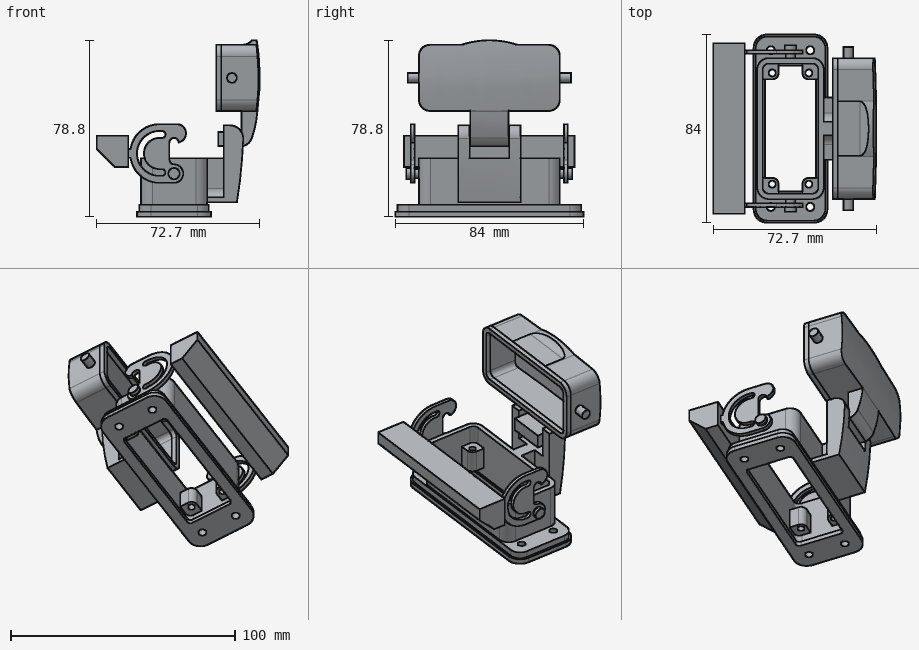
import cadquery as cq
import math


wall = 2.4
shell_width = 29.6
shell_length = 62.8
shell_corner = 5.0
shell_top = 26.2
cavity_corner = shell_corner - wall
cavity_width = shell_width - 2 * wall
cavity_length = shell_length - 2 * wall

plinth_length = 84.0
plinth_width = 33.0
plinth_corner = 6.1
plinth_height = 2.4
plinth_margin = 1.0
flange_height = 3.1
flange_top = plinth_height + flange_height
flange_length = plinth_length - 2 * plinth_margin
flange_width = plinth_width - 2 * plinth_margin
flange_corner = plinth_corner - plinth_margin
mount_hole_diameter = 3.5
mount_spacing_x = 17.55
mount_spacing_y = 69.8

boss_side = 7.05
boss_corner = 2.85
boss_top = 17.5
boss_bottom = 7.05
boss_hole_diameter = 3.0
boss_hole_inset = 4.2

plate_thickness = 1.8
plate_inner_y = 33.3
plate_outer_y = plate_inner_y + plate_thickness
pivot_z = 19.3
pivot_radius = 2.1
pivot_head_radius = 2.5
pivot_head_outer_y = 37.05
lobe_radius = 4.1
bow_center_x = -6.5
bow_radius = 13.1
bow_center_z = pivot_z - lobe_radius + bow_radius
hook_radius = 3.9
hook_x = 1.5
throat_radius = 2.0
throat_top_z = 33.2
slot_center_radius = 8.5
slot_width = 3.0
slot_end_x = -5.4
bar_half_length = 38.05
bar_back_x = -34.4
bar_front_x = -20.3
bar_top_z = 36.2
bar_bottom_z = 22.2
bar_bevel = 8.1
neck_height = 4.0

bracket_front_x = 22.1
bracket_bottom_z = 6.5
bracket_bottom_x = 28.05
bracket_top_z = 40.9
bracket_back_x = 30.8
bracket_round = 5.9
bracket_bulge = 0.5
bracket_half_width = 13.95
bracket_gap_half = 8.8
foot_height = 2.35
rib_half_width = 3.0
rib_fillet = 4.0

seal_front_x = 18.7
seal_thickness = 2.35
cover_front_x = seal_front_x + seal_thickness
cover_apex_x = 38.3
cover_z = 62.0
bow_drop_height = 1.1
bow_drop_length = 0.7
cover_pin_x = 25.8
cover_pin_radius = 2.2
cover_pin_reach = 36.45
grip_rise = 2.0
pad_rise = 0.1
grip_half_length = 12.4
grip_start_x = 30.8
grip_scoop_radius = 5.0
hinge_half_width = 8.6
knuckle_x = 19.65
knuckle_top_z = 38.0
knuckle_bottom_z = 31.6
hinge_arm_x = 30.1
hinge_arm_top_x = 37.2
hinge_taper_middle = (36.45, 41.6)
hinge_taper_end = (34.8, 35.3)
hinge_toe_middle = (33.3, 32.9)
hinge_toe_end_x = 30.8

SIDES = (-1, 1)


def rounded_block(width, length, corner, z_low, z_high):
    """Block centred on the Z axis with rounded vertical edges."""
    return (cq.Workplane("XY").workplane(offset=z_low).rect(width, length)
            .extrude(z_high - z_low).edges("|Z").fillet(corner))


def box_between(x, y, z):
    """Box given by its (low, high) limits along each axis."""
    return (cq.Workplane("XY").box(x[1] - x[0], y[1] - y[0], z[1] - z[0], centered=False)
            .translate((x[0], y[0], z[0])))


def cylinder_y(x, z, radius, y_low, y_high):
    """Cylinder parallel to the Y axis."""
    return (cq.Workplane("XZ", origin=(0, y_low, 0)).center(x, z)
            .circle(radius).extrude(y_low - y_high))


def along_y(outline, y_low, y_high):
    """Extrude a closed XZ outline between two Y positions."""
    return outline.extrude(y_low - y_high).translate((0, y_low, 0))


def mounting_holes():
    """Cutters for the four holes through flange and plinth."""
    return (cq.Workplane("XY").rect(mount_spacing_x, mount_spacing_y, forConstruction=True)
            .vertices().circle(mount_hole_diameter / 2).extrude(flange_top))


def make_plinth():
    """Wide bottom layer of the base, leaving a narrow ledge inside the cavity."""
    ring = rounded_block(plinth_width, plinth_length, plinth_corner, 0, plinth_height)
    opening = rounded_block(cavity_width - 2 * plinth_margin, cavity_length - 2 * plinth_margin,
                            cavity_corner - plinth_margin, 0, plinth_height)
    return ring.cut(opening)


def make_boss(side_x, side_y):
    """Drilled corner boss with its free vertical edge rounded."""
    center_x = side_x * (cavity_width - boss_side) / 2
    center_y = side_y * (cavity_length - boss_side) / 2
    hole_x = side_x * (cavity_width / 2 - boss_hole_inset)
    hole_y = side_y * (cavity_length / 2 - boss_hole_inset)
    height = boss_top - boss_bottom
    free_edge = ("<X" if side_x > 0 else ">X") + " and " + ("<Y" if side_y > 0 else ">Y")
    block = (cq.Workplane("XY", origin=(center_x, center_y, boss_bottom))
             .rect(boss_side, boss_side).extrude(height)
             .edges("|Z and " + free_edge).fillet(boss_corner))
    hole = (cq.Workplane("XY", origin=(hole_x, hole_y, boss_bottom))
            .circle(boss_hole_diameter / 2).extrude(height))
    return block.cut(hole)


def bracket_profile():
    """Side profile of the bracket arms: rounded top and gently bowed, tapering back."""
    shoulder_z = bracket_top_z - bracket_round
    round_x = bracket_back_x - bracket_round
    diagonal = bracket_round * math.sqrt(0.5)
    middle_x = (bracket_back_x + bracket_bottom_x) / 2 + bracket_bulge
    middle_z = (shoulder_z + bracket_bottom_z) / 2
    return (cq.Workplane("XZ")
            .moveTo(bracket_front_x, bracket_bottom_z)
            .lineTo(bracket_front_x, bracket_top_z)
            .lineTo(round_x, bracket_top_z)
            .threePointArc((round_x + diagonal, shoulder_z + diagonal), (bracket_back_x, shoulder_z))
            .threePointArc((middle_x, middle_z), (bracket_bottom_x, bracket_bottom_z))
            .close())


def make_bracket():
    """Two hinge arms joined by a low web, carried by a foot plate and a filleted rib."""
    root_x = shell_width / 2 - wall / 2
    foot_top = bracket_bottom_z + foot_height
    arms = along_y(bracket_profile(), -bracket_half_width, bracket_half_width)
    arms = arms.cut(box_between((bracket_front_x, cover_apex_x),
                                (-bracket_gap_half, bracket_gap_half),
                                (shell_top, bracket_top_z)))
    foot_span = (root_x, bracket_front_x)
    foot = box_between(foot_span, (-bracket_half_width, bracket_half_width),
                       (bracket_bottom_z, foot_top))
    rib = box_between(foot_span, (-rib_half_width, rib_half_width), (bracket_bottom_z, shell_top))
    bracket = arms.union(foot).union(rib)
    hollow_y = rib_half_width + rib_fillet
    corner = box_between(foot_span, (rib_half_width, hollow_y), (foot_top, foot_top + rib_fillet))
    hollow = (cq.Workplane("YZ", origin=(root_x, 0, 0))
              .center(hollow_y, foot_top + rib_fillet).circle(rib_fillet)
              .extrude(bracket_front_x - root_x))
    fillet = corner.cut(hollow)
    return bracket.union(fillet).union(fillet.mirror("XZ"))


def make_pivot():
    """Headed pivot stub on the +Y end wall; the lever turns on its shank."""
    root_y = (shell_length - wall) / 2
    shank = cylinder_y(0, pivot_z, pivot_radius, root_y, plate_outer_y)
    head = cylinder_y(0, pivot_z, pivot_head_radius, plate_outer_y, pivot_head_outer_y)
    return shank.union(head)


def make_housing():
    """Plinth, flange and open-ended shell with bosses, pivots and the hinge bracket."""
    flange = rounded_block(flange_width, flange_length, flange_corner, plinth_height, flange_top)
    shell = rounded_block(shell_width, shell_length, shell_corner, plinth_height, shell_top)
    cavity = rounded_block(cavity_width, cavity_length, cavity_corner, plinth_height, shell_top)
    body = flange.union(shell).union(make_bracket()).cut(cavity)
    body = body.union(make_plinth()).cut(mounting_holes())
    for side_x in SIDES:
        for side_y in SIDES:
            body = body.union(make_boss(side_x, side_y))
    pivot = make_pivot()
    return body.union(pivot).union(pivot.mirror("XZ"))


def lever_plate_profile():
    """Bowed plate with a pivot lobe below, a throat and a hook above."""
    lobe_top = pivot_z + lobe_radius
    throat_low_z = lobe_top + throat_radius
    bow_top = bow_center_z + bow_radius
    hook_z = bow_top - hook_radius
    diagonal = throat_radius * math.sqrt(0.5)
    return (cq.Workplane("XZ")
            .moveTo(bow_center_x, bow_center_z - bow_radius)
            .lineTo(0, pivot_z - lobe_radius)
            .threePointArc((lobe_radius, pivot_z), (0, lobe_top))
            .threePointArc((-diagonal, throat_low_z - diagonal), (-throat_radius, throat_low_z))
            .lineTo(-throat_radius, throat_top_z)
            .threePointArc((0, throat_top_z + throat_radius), (throat_radius, throat_top_z))
            .threePointArc((hook_x + hook_radius, hook_z), (hook_x, bow_top))
            .lineTo(bow_center_x, bow_top)
            .threePointArc((bow_center_x - bow_radius, bow_center_z),
                           (bow_center_x, bow_center_z - bow_radius))
            .close())


def lever_slot_profile():
    """C-shaped slot: half ring with short straight ends, rounded at both tips."""
    outer = slot_center_radius + slot_width / 2
    inner = slot_center_radius - slot_width / 2
    tip_x = slot_end_x + slot_width / 2
    low, mid, high = (bow_center_z + sign * slot_center_radius for sign in (-1, 0, 1))
    return (cq.Workplane("XZ")
            .moveTo(bow_center_x, mid - outer)
            .lineTo(slot_end_x, mid - outer)
            .threePointArc((tip_x, low), (slot_end_x, mid - inner))
            .lineTo(bow_center_x, mid - inner)
            .threePointArc((bow_center_x - inner, mid), (bow_center_x, mid + inner))
            .lineTo(slot_end_x, mid + inner)
            .threePointArc((tip_x, high), (slot_end_x, mid + outer))
            .lineTo(bow_center_x, mid + outer)
            .threePointArc((bow_center_x - outer, mid), (bow_center_x, mid - outer))
            .close())


def make_lever():
    """Handle bar carried by two slotted cheek plates."""
    bar_outline = (cq.Workplane("XZ")
                   .moveTo(bar_front_x, bar_bottom_z)
                   .lineTo(bar_front_x, bar_top_z)
                   .lineTo(bar_back_x, bar_top_z)
                   .lineTo(bar_back_x, bar_bottom_z + bar_bevel)
                   .lineTo(bar_back_x + bar_bevel, bar_bottom_z)
                   .close())
    lever = along_y(bar_outline, -bar_half_length, bar_half_length)
    plate = along_y(lever_plate_profile(), plate_inner_y, plate_outer_y)
    neck_end_x = bow_center_x - (bow_radius + slot_center_radius + slot_width / 2) / 2
    neck = box_between((bar_front_x, neck_end_x), (plate_inner_y, plate_outer_y),
                       (bow_center_z - neck_height / 2, bow_center_z + neck_height / 2))
    slot = along_y(lever_slot_profile(), plate_inner_y, plate_outer_y)
    pivot_hole = cylinder_y(0, pivot_z, pivot_radius, plate_inner_y, plate_outer_y)
    cheek = plate.union(neck).cut(slot).cut(pivot_hole)
    return lever.union(cheek).union(cheek.mirror("XZ"))


def bowed_block(inset):
    """Block whose back is bowed both ways, its apex lying inset in front of the cover's."""
    height_radius = (shell_width / 2) ** 2 / (2 * bow_drop_height) - inset
    length_radius = (shell_length / 2) ** 2 / (2 * bow_drop_length) - inset
    apex_x = cover_apex_x - inset
    half_height = shell_width / 2 + 2 * grip_rise
    edge_x = apex_x - height_radius + math.sqrt(height_radius ** 2 - half_height ** 2)
    axis_x = apex_x - length_radius
    half_angle = math.degrees(math.asin(shell_length / length_radius))
    section = (cq.Workplane("XZ", origin=(axis_x, 0, cover_z))
               .moveTo(-axis_x, -half_height)
               .lineTo(edge_x - axis_x, -half_height)
               .threePointArc((length_radius, 0), (edge_x - axis_x, half_height))
               .lineTo(-axis_x, half_height)
               .close())
    swept = section.revolve(2 * half_angle, (0, 0, 0), (0, 1, 0))
    return swept.rotate((axis_x, 0, 0), (axis_x, 0, 1), -half_angle)


def cover_prism(inset, front_x, back_x):
    """Rounded prism with the cover's outline, shrunk by inset."""
    return (cq.Workplane("YZ", origin=(front_x, 0, cover_z))
            .rect(shell_length - 2 * inset, shell_width - 2 * inset)
            .extrude(back_x - front_x)
            .edges("|X").fillet(shell_corner - inset))


def cover_block(inset):
    """Cover prism trimmed by the bowed back."""
    return cover_prism(inset, cover_front_x, cover_apex_x).intersect(bowed_block(inset))


def make_seal():
    """Sealing ring on the cover's rim, flush with its walls."""
    return (cover_prism(0, seal_front_x, cover_front_x)
            .cut(cover_prism(wall, seal_front_x, cover_front_x)))


def make_grip():
    """Arched finger grip on the cover's top, scooped down to a low pad in front."""
    base_z = cover_z + shell_width / 2
    pad_z = base_z + pad_rise
    grip = (cq.Workplane("YZ", origin=(cover_front_x, 0, 0))
            .moveTo(-grip_half_length, base_z - wall / 2)
            .lineTo(-grip_half_length, base_z)
            .threePointArc((0, base_z + grip_rise), (grip_half_length, base_z))
            .lineTo(grip_half_length, base_z - wall / 2)
            .close().extrude(cover_apex_x - cover_front_x))
    scoop = cylinder_y(grip_start_x, pad_z + grip_scoop_radius, grip_scoop_radius,
                       -grip_half_length, grip_half_length)
    above_pad = box_between((cover_front_x, grip_start_x), (-grip_half_length, grip_half_length),
                            (pad_z, base_z + grip_rise))
    return grip.cut(scoop).cut(above_pad).intersect(bowed_block(0))


def make_hinge_arm():
    """Arm hanging from the cover with a knuckle that fits between the bracket arms."""
    root_z = cover_z - shell_width / 2
    outline = (cq.Workplane("XZ")
               .moveTo(knuckle_x, knuckle_bottom_z)
               .lineTo(knuckle_x, knuckle_top_z)
               .lineTo(hinge_arm_x, knuckle_top_z)
               .lineTo(hinge_arm_x, root_z + wall / 2)
               .lineTo(hinge_arm_top_x, root_z + wall / 2)
               .lineTo(hinge_arm_top_x, root_z)
               .threePointArc(hinge_taper_middle, hinge_taper_end)
               .threePointArc(hinge_toe_middle, (hinge_toe_end_x, knuckle_bottom_z))
               .close())
    return along_y(outline, -hinge_half_width, hinge_half_width)


def make_cover():
    """Hollow cover with its grip, hinge arm and two locking pins."""
    cover = cover_block(0).union(make_grip()).union(make_hinge_arm()).cut(cover_block(wall))
    pin = cylinder_y(cover_pin_x, cover_z, cover_pin_radius,
                     (shell_length - wall) / 2, cover_pin_reach)
    return cover.union(pin).union(pin.mirror("XZ"))


housing = make_housing()
lever = make_lever()
cover = make_cover()
seal = make_seal()

result = cq.Compound.makeCompound([housing.val(), lever.val(), cover.val(), seal.val()])